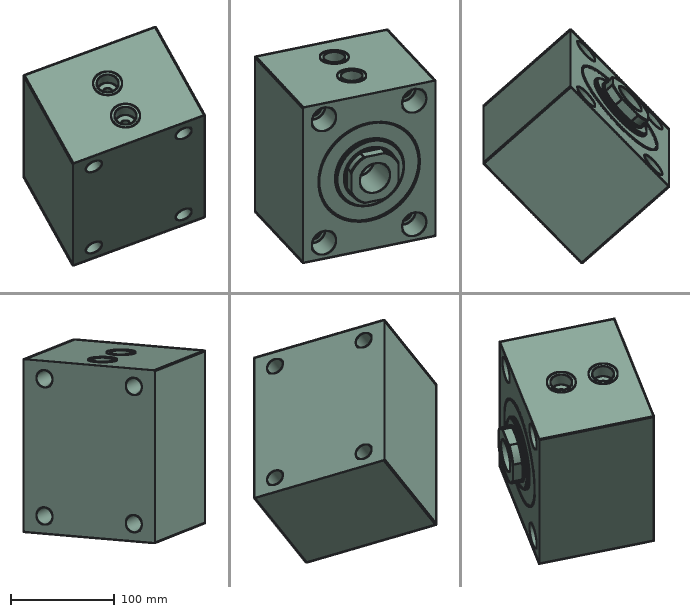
import cadquery as cq
import math


OVERALL_LENGTH = 129.0
BLOCK_WIDTH = 140.0
BLOCK_HEIGHT = 170.0
ROD_REACH = 14.0
BLOCK_LENGTH = OVERALL_LENGTH - ROD_REACH
BLOCK_CHAMFER = 0.7

BOLT_SPACING_Y = 95.2
BOLT_SPACING_Z = 135.0
BOLT_HOLE_DIAMETER = 17.0
COUNTERBORE_DIAMETER = 25.5
COUNTERBORE_DEPTH = 25.5

FRONT_PORT_X = 42.0
REAR_PORT_X = 2 * FRONT_PORT_X
PORT_DIAMETER = 21.0
PORT_DEPTH = 14.0
PORT_SEAT_DIAMETER = 28.0
PORT_SEAT_DEPTH = 0.3
OIL_HOLE_DIAMETER = 8.5
OIL_HOLE_DEPTH = BLOCK_HEIGHT / 2

ROD_DIAMETER = 54.9
ROD_CHAMFER = 0.5
ROD_BACK_X = (FRONT_PORT_X + REAR_PORT_X) / 2
ROD_ACROSS_FLATS = 50.0
FLATS_END_X = -3.5
SOCKET_DIAMETER = 32.0
SOCKET_DEPTH = 37.4
SOCKET_TIP_ANGLE = 118.0
SOCKET_TIP_LENGTH = SOCKET_DIAMETER / 2 / math.tan(math.radians(SOCKET_TIP_ANGLE / 2))

GLAND_DIAMETER = 105.0
GLAND_DEPTH = 34.0
GLAND_SEAT_CHAMFER = 1.0
LIP_DIAMETER = 72.0
LIP_REACH = 3.0
LIP_CHAMFER = 1.2
WIPER_DIAMETER = 56.1
WIPER_REACH = 4.6


def rod_axis_cylinder(x_start, x_end, diameter):
    """Cylinder on the X axis between two X positions."""
    return cq.Workplane("YZ", origin=(x_start, 0, 0)).circle(diameter / 2).extrude(x_end - x_start)


def rod_axis_cone(x_start, length, start_diameter, end_diameter):
    """Cone or truncated cone on the X axis, starting at x_start."""
    start = cq.Vector(x_start, 0, 0)
    axis = cq.Vector(1, 0, 0)
    return cq.Workplane(cq.Solid.makeCone(start_diameter / 2, end_diameter / 2, length, start, axis))


def top_hole(x, diameter, depth):
    """Cutter for a flat-bottomed hole going down from the top face."""
    return cq.Workplane("XY", origin=(x, 0, BLOCK_HEIGHT / 2)).circle(diameter / 2).extrude(-depth)


def bolt_holes(diameter, depth):
    """Cutters for the four bolt positions, going back from the front face."""
    return (
        cq.Workplane("YZ")
        .rect(BOLT_SPACING_Y, BOLT_SPACING_Z, forConstruction=True)
        .vertices()
        .circle(diameter / 2)
        .extrude(depth)
    )


def make_block():
    block = cq.Workplane("XY").box(BLOCK_LENGTH, BLOCK_WIDTH, BLOCK_HEIGHT, centered=(False, True, True))
    block = block.edges("|X").chamfer(BLOCK_CHAMFER)

    block = block.cut(bolt_holes(BOLT_HOLE_DIAMETER, BLOCK_LENGTH))
    block = block.cut(bolt_holes(COUNTERBORE_DIAMETER, COUNTERBORE_DEPTH))

    for x in (FRONT_PORT_X, REAR_PORT_X):
        block = block.cut(top_hole(x, PORT_SEAT_DIAMETER, PORT_SEAT_DEPTH))
        block = block.cut(top_hole(x, PORT_DIAMETER, PORT_DEPTH))
        block = block.cut(top_hole(x, OIL_HOLE_DIAMETER, OIL_HOLE_DEPTH))

    block = block.cut(rod_axis_cylinder(0, ROD_BACK_X, ROD_DIAMETER))
    block = block.cut(rod_axis_cylinder(0, GLAND_DEPTH, GLAND_DIAMETER))
    seat_diameter = GLAND_DIAMETER + 2 * GLAND_SEAT_CHAMFER
    return block.cut(rod_axis_cone(0, GLAND_SEAT_CHAMFER, seat_diameter, GLAND_DIAMETER))


def make_gland():
    flange = rod_axis_cylinder(0, GLAND_DEPTH, GLAND_DIAMETER)
    lip = rod_axis_cylinder(-LIP_REACH, 0, LIP_DIAMETER).faces("<X").chamfer(LIP_CHAMFER)
    wiper = rod_axis_cylinder(-WIPER_REACH, 0, WIPER_DIAMETER)
    rod_bore = rod_axis_cylinder(-WIPER_REACH, GLAND_DEPTH, ROD_DIAMETER)
    return flange.union(lip).union(wiper).cut(rod_bore)


def make_rod():
    rod = rod_axis_cylinder(-ROD_REACH, ROD_BACK_X, ROD_DIAMETER).faces("<X").chamfer(ROD_CHAMFER)

    flats_length = FLATS_END_X + ROD_REACH
    flats = (
        cq.Workplane("YZ", origin=(-ROD_REACH, 0, 0))
        .rect(ROD_DIAMETER, ROD_DIAMETER)
        .rect(ROD_ACROSS_FLATS, ROD_ACROSS_FLATS)
        .extrude(flats_length)
    )
    rod = rod.cut(flats)

    tip_x = SOCKET_DEPTH - ROD_REACH
    rod = rod.cut(rod_axis_cylinder(-ROD_REACH, tip_x, SOCKET_DIAMETER))
    return rod.cut(rod_axis_cone(tip_x, SOCKET_TIP_LENGTH, SOCKET_DIAMETER, 0))


block = make_block().solids()
gland = make_gland().solids()
rod = make_rod().solids()

result = cq.Compound.makeCompound([block.val(), gland.val(), rod.val()])